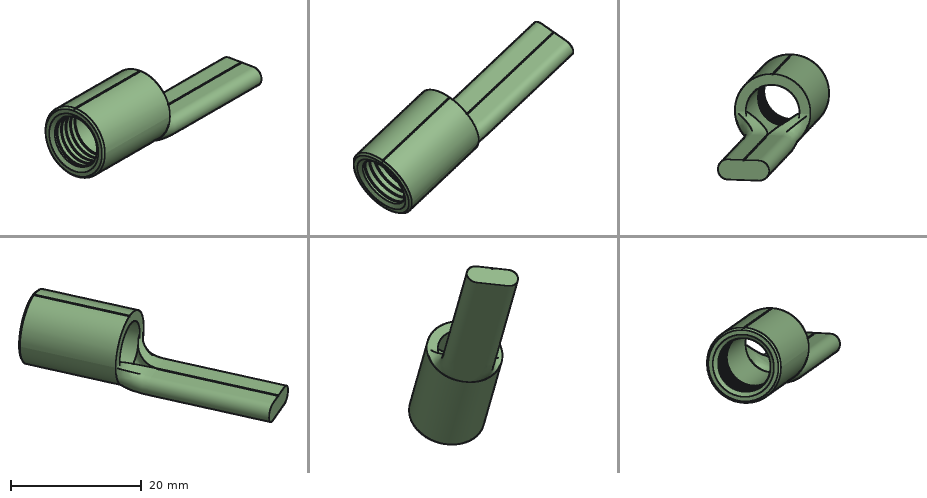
import cadquery as cq
import math

total_length = 40.5

sleeve_radius = 5.893
sleeve_length = 16.05
sleeve_chamfer = 0.32
bore_radius = 4.17
mouth_radius = 4.85
mouth_depth = 0.5

groove_count = 5
groove_start = 1.0
groove_pitch = 1.1
groove_width = 0.15
groove_depth = 0.12

pin_width = 7.98
pin_height = 3.15
neck_length = 4.55

seam_width = 0.1
seam_depth = 0.12

bottom_z = -sleeve_radius
pin_top_z = bottom_z + pin_height
pin_mid_z = bottom_z + pin_height / 2
pin_flat_half = (pin_width - pin_height) / 2
pin_start = sleeve_length + neck_length
seam_half = seam_width / 2

neck_angles = [0, 15, 30, 45, 60, 75, 87]
diagonal = math.sqrt(0.5)


def blend(pin_value, sleeve_value, share):
    """Value between pin (share 0) and sleeve (share 1)."""
    return pin_value + (sleeve_value - pin_value) * share


def section_plane(y):
    """Cross-section plane at y, with local axes along X and Z."""
    return cq.Workplane(cq.Plane(origin=(0, y, 0), xDir=(1, 0, 0), normal=(0, -1, 0)))


def ring_cut(start, length, radius):
    return section_plane(start).circle(radius).extrude(-length)


def make_sleeve():
    sleeve = section_plane(0).circle(sleeve_radius).extrude(-sleeve_length)
    sleeve = sleeve.faces("<Y").chamfer(sleeve_chamfer)
    sleeve = sleeve.cut(ring_cut(0, sleeve_length, bore_radius))
    mouth = cq.Solid.makeCone(
        mouth_radius, bore_radius, mouth_depth, cq.Vector(0, 0, 0), cq.Vector(0, 1, 0)
    )
    sleeve = sleeve.cut(cq.Workplane(mouth))
    for index in range(groove_count):
        start = groove_start + index * groove_pitch
        sleeve = sleeve.cut(ring_cut(start, groove_width, bore_radius + groove_depth))
    return sleeve


def make_pin():
    length = total_length - pin_start
    return section_plane(pin_start).center(0, pin_mid_z).slot2D(pin_width, pin_height).extrude(-length)


def neck_outline(y, share):
    """Flat-topped section whose rounded sides open out towards the sleeve wall."""
    flat_x = blend(pin_flat_half, 0, share)
    side_x = blend(pin_width / 2, sleeve_radius * diagonal, share)
    side_z = blend(pin_mid_z, -sleeve_radius * diagonal, share)
    top_x = blend(pin_flat_half, sleeve_radius, share)
    top_z = blend(pin_top_z, 0, share)
    return (
        section_plane(y)
        .moveTo(-flat_x, bottom_z)
        .lineTo(flat_x, bottom_z)
        .threePointArc((side_x, side_z), (top_x, top_z))
        .lineTo(-top_x, top_z)
        .threePointArc((-side_x, side_z), (-flat_x, bottom_z))
        .close()
        .wire()
        .val()
    )


def neck_hollow(y, share):
    """Round-bottomed trough that narrows from the bore to the seam, open at the top."""
    half_width = blend(seam_half, bore_radius, share)
    floor_z = -bore_radius
    return (
        section_plane(y)
        .moveTo(-half_width, sleeve_radius)
        .lineTo(-half_width, floor_z + half_width)
        .threePointArc((0, floor_z), (half_width, floor_z + half_width))
        .lineTo(half_width, sleeve_radius)
        .close()
        .wire()
        .val()
    )


def make_neck():
    outlines = []
    hollows = []
    last_sine = math.sin(math.radians(neck_angles[-1]))
    for angle in neck_angles:
        turn = math.radians(angle)
        share = 1 - math.cos(turn)
        y = pin_start - neck_length * math.sin(turn) / last_sine
        outlines.append(neck_outline(y, share))
        hollows.append(neck_hollow(y, share))
    body = cq.Workplane(cq.Solid.makeLoft(outlines))
    return body.cut(cq.Workplane(cq.Solid.makeLoft(hollows)))


def seam_cut(start, end, surface_z):
    """Shallow slot along Y, sunk by seam_depth below a surface at surface_z."""
    cutter = cq.Workplane("XY").box(seam_width, end - start, 2 * seam_depth)
    return cutter.translate((0, (start + end) / 2, surface_z))


result = make_sleeve().union(make_neck()).union(make_pin())
result = result.cut(seam_cut(0, sleeve_length, sleeve_radius))
result = result.cut(seam_cut(pin_start, total_length, pin_top_z))